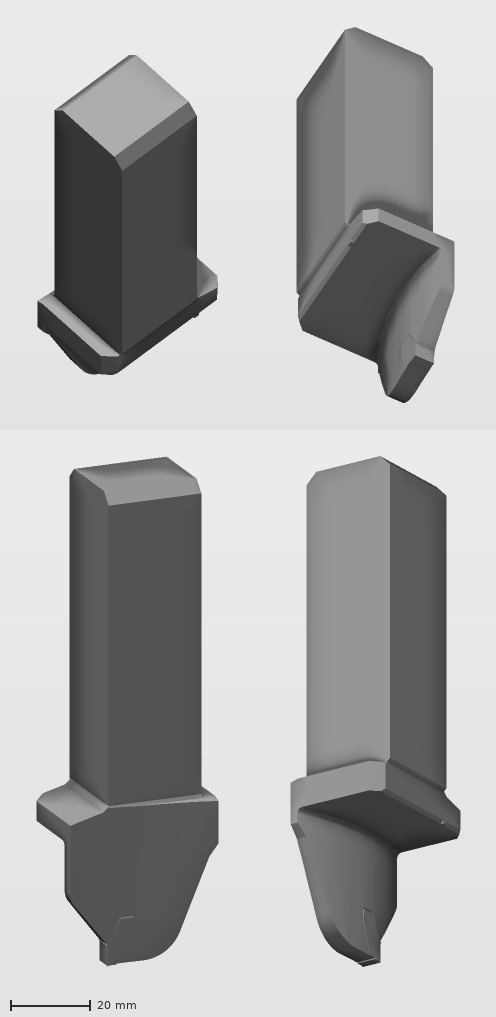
import cadquery as cq
import math


total_height = 125.4
total_width = 27.7
head_depth = 39.9

shank_side = 25.5
shank_front = 3.8
shank_back = shank_front + shank_side
shank_left = total_width - shank_side
shank_top_chamfer = 3.0
shank_bottom = 41.9
shank_edge_chamfer = 0.9

plate_right = total_width - shank_edge_chamfer
plate_top = 41.5
plate_outer_top = 40.9
plate_bottom = 33.5
plate_corner_chamfer = 3.0
plate_lower_chamfer = 0.9
shoulder_height = 38.7
flare_height = 0.6
flare_width = 0.5
side_flare_drop = 0.3
back_flare_depth = 1.5

outer_crest_y = 32.6
outer_crest_x = 2.0
outer_radius = (outer_crest_y**2 + outer_crest_x**2) / (2 * outer_crest_x)
inner_crest_y = 25.1
inner_crest_x = 7.4
inner_radius = 61.4
root_fillet = 1.3
blade_bottom = 0.5
nose_radius = 10.5
back_corner_radius = 5.0
blade_front_base = 29.6
blade_slope_y = 2.4
blade_slope_z = 26.3
blade_slope_angle = 68.0
back_edge_base = 18.8
tip_y = 29.5

insert_right = 7.5
insert_back_y = 29.8
insert_back_z = 5.5
insert_top_z = 12.3
insert_top_back_y = 26.2
insert_top_front_y = 22.2
insert_front_y = 21.8
insert_front_upper_z = 10.8
insert_front_lower_z = 8.5
insert_foot_y = 24.6
tip_edge_z = 0.19
tip_edge_y = 27.1
seat_clearance = 0.4
relief_depth = 0.1
relief_top_z = 3.8
relief_corner_y = 28.1
relief_corner_z = 2.9


def side_prism(sketch):
    """Extrude a closed YZ outline across the whole width."""
    return sketch.close().extrude(total_width)


def plan_cylinder(crest_x, crest_y, radius):
    """Tall cylinder whose +X crest touches the given point."""
    return (
        cq.Workplane("XY")
        .center(crest_x - radius, crest_y)
        .circle(radius)
        .extrude(total_height)
    )


def make_shank():
    shank = (
        cq.Workplane("XY", origin=(shank_left, shank_front, shank_bottom))
        .box(shank_side, shank_side, total_height - shank_bottom, centered=False)
    )
    shank = shank.faces(">Z").edges("|Y").chamfer(shank_top_chamfer)
    return shank.faces("<Z").edges("|Y and >X").chamfer(shank_edge_chamfer)


def make_neck():
    """Thin layer under the shank that flares toward the blade face."""
    return (
        cq.Workplane("XZ", origin=(0, shank_back, 0))
        .moveTo(0, plate_outer_top)
        .lineTo(shank_left - flare_width, shank_bottom - side_flare_drop)
        .lineTo(shank_left, shank_bottom + flare_height)
        .lineTo(shank_left + shank_edge_chamfer, shank_bottom + flare_height)
        .lineTo(shank_left + shank_edge_chamfer, shank_bottom)
        .lineTo(plate_right, shank_bottom)
        .lineTo(plate_right, plate_outer_top)
        .close()
        .extrude(shank_side)
    )


def make_back_flare():
    """Wedge easing the back of the shank into the sloped shoulder."""
    shoulder_slope = (plate_top - shoulder_height) / (head_depth - shank_back)
    flare_end_z = plate_top - shoulder_slope * back_flare_depth
    wedge = side_prism(
        cq.Workplane("YZ")
        .moveTo(shank_back, shank_bottom + flare_height)
        .lineTo(shank_back + back_flare_depth, flare_end_z)
        .lineTo(shank_back + back_flare_depth, plate_bottom)
        .lineTo(shank_back, plate_bottom)
    )
    bounds = cq.Workplane("XY").box(plate_right, head_depth, total_height, centered=False)
    return wedge.intersect(bounds)


def make_plate():
    plate = (
        cq.Workplane("XY", origin=(0, 0, plate_bottom))
        .box(plate_right, head_depth, plate_top - plate_bottom, centered=False)
    )
    plate = plate.edges("|Z and >X").chamfer(plate_corner_chamfer)
    plate = plate.faces("<Z").edges("|Y and >X").chamfer(plate_lower_chamfer)
    outer_slope = (
        cq.Workplane("XZ", origin=(0, head_depth, 0))
        .moveTo(0, plate_outer_top)
        .lineTo(shank_left, plate_top)
        .lineTo(0, plate_top)
        .close()
        .extrude(head_depth)
    )
    back_slope = side_prism(
        cq.Workplane("YZ")
        .moveTo(shank_back, plate_top)
        .lineTo(head_depth, shoulder_height)
        .lineTo(head_depth, plate_top)
    )
    return plate.cut(outer_slope).cut(back_slope)


def blade_outline():
    """Side shape of the blade, reaching up into the plate."""
    slope_angle = math.radians(blade_slope_angle)
    nose_z = blade_bottom + nose_radius * (1 - math.cos(slope_angle))
    nose_y = blade_slope_y + (blade_slope_z - nose_z) / math.tan(slope_angle)
    nose_center_y = nose_y + nose_radius * math.sin(slope_angle)
    nose_mid = (
        nose_center_y - nose_radius * math.sin(slope_angle / 2),
        blade_bottom + nose_radius * (1 - math.cos(slope_angle / 2)),
    )
    outline = side_prism(
        cq.Workplane("YZ")
        .moveTo(0, plate_bottom)
        .lineTo(0, blade_front_base)
        .lineTo(blade_slope_y, blade_slope_z)
        .lineTo(nose_y, nose_z)
        .threePointArc(nose_mid, (nose_center_y, blade_bottom))
        .lineTo(tip_y, blade_bottom)
        .lineTo(tip_y, insert_back_z)
        .lineTo(head_depth, back_edge_base)
        .lineTo(head_depth, plate_bottom)
    )
    back_corner = cq.selectors.NearestToPointSelector(
        (total_width / 2, head_depth, back_edge_base)
    )
    return outline.edges(back_corner).fillet(back_corner_radius)


def root_blend():
    """Concave blend between the inner blade face and the plate underside."""
    center_x = inner_crest_x - inner_radius
    ring = (
        cq.Workplane("XZ", origin=(center_x, inner_crest_y, 0))
        .moveTo(inner_radius - root_fillet, plate_bottom)
        .lineTo(inner_radius + root_fillet, plate_bottom)
        .radiusArc((inner_radius, plate_bottom - root_fillet), -root_fillet)
        .lineTo(inner_radius - root_fillet, plate_bottom - root_fillet)
        .close()
        .revolve(360, (0, 0, 0), (0, 1, 0))
    )
    bounds = cq.Workplane("XY").box(total_width, head_depth, total_height, centered=False)
    return ring.intersect(bounds)


def insert_outline(top_gap=0.0):
    top_z = insert_top_z + top_gap
    return side_prism(
        cq.Workplane("YZ")
        .moveTo(tip_y, 0)
        .lineTo(tip_y, insert_back_z - seat_clearance)
        .lineTo(insert_back_y, insert_back_z)
        .lineTo(tip_y - seat_clearance, insert_back_z + seat_clearance)
        .lineTo(insert_top_back_y, top_z)
        .lineTo(insert_top_front_y, top_z)
        .lineTo(insert_front_y, insert_front_upper_z)
        .lineTo(insert_front_y, insert_front_lower_z)
        .lineTo(insert_foot_y, blade_bottom)
        .lineTo(tip_edge_y, blade_bottom)
        .lineTo(tip_edge_y, tip_edge_z)
        .lineTo(tip_y - seat_clearance, tip_edge_z)
    )


def make_holder():
    blade = blade_outline().intersect(plan_cylinder(inner_crest_x, inner_crest_y, inner_radius))
    holder = blade.union(make_plate()).union(root_blend()).union(make_neck()).union(make_back_flare())
    holder = holder.cut(plan_cylinder(outer_crest_x, outer_crest_y, outer_radius))
    holder = holder.union(make_shank())
    return holder.cut(insert_outline(seat_clearance))


def make_insert():
    """Cutting insert flush with the outer blade face, with a relieved tip."""
    insert = insert_outline().intersect(
        cq.Workplane("XY").box(insert_right, head_depth, total_height, centered=False)
    )
    insert = insert.cut(plan_cylinder(outer_crest_x, outer_crest_y, outer_radius))
    tip_relief = side_prism(
        cq.Workplane("YZ")
        .moveTo(tip_y, 0)
        .lineTo(tip_y, relief_top_z)
        .threePointArc((relief_corner_y, relief_corner_z), (tip_edge_y, blade_bottom))
        .lineTo(tip_edge_y, 0)
    )
    relief_face = plan_cylinder(outer_crest_x + relief_depth, outer_crest_y, outer_radius)
    return insert.cut(tip_relief.intersect(relief_face))


holder = make_holder()
insert = make_insert()
result = cq.Compound.makeCompound([holder.val(), insert.val()])